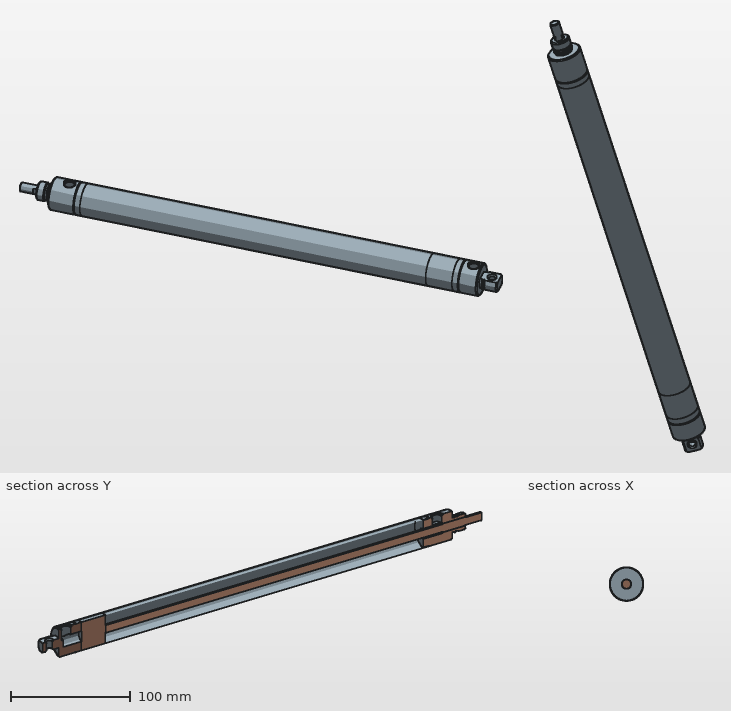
import cadquery as cq
import math


TOTAL_LENGTH = 422.3
HEAD_FACE = 28.5
HEAD_SHOULDER = 50.5
JOINT_GAP = 1.0
PLUG_LENGTH = 6.0
STROKE = 305.0
PISTON_LENGTH = 23.2
END_CAP_FACE = 406.5

BODY_DIAMETER = 28.5
BODY_RADIUS = BODY_DIAMETER / 2
BORE_DIAMETER = 27.5
BORE_RADIUS = BORE_DIAMETER / 2
BODY_CHAMFER = 1.05

STEM_RADIUS = 8.0
NECK_RADIUS = 7.0
STEM_CHAMFER = 1.05
NOSE_LENGTH = 12.5
NECK_LENGTH = 2.0
RIM_WIDTH = 0.65
GROOVE_SLOPE = 1.0
NOSE_GROOVE_FLOOR = 1.5
PIVOT_GROOVE_FLOOR = 0.5

ROD_RADIUS = 3.95
ROD_TIP_CHAMFER = 0.65
FLAT_START = 12.0
FLAT_END = 14.5
FLAT_OFFSET = 2.75

PORT_MOUTH_RADIUS = 5.0
PORT_RADIUS = 4.2
PORT_MOUTH_DEPTH = 1.3
PORT_STEP = 1.0
DRILL_POINT_ANGLE = 118
HEAD_PORT_X = 43.0
HEAD_PORT_FLOOR = 5.5
END_PORT_X = 399.5
END_PORT_FLOOR = 2.0
CHAMBER_DIAMETER = 9.7
CHAMBER_RADIUS = CHAMBER_DIAMETER / 2
HEAD_CHAMBER_START = HEAD_PORT_X - PORT_MOUTH_RADIUS
END_CHAMBER_END = 402.0

EYE_THICKNESS = 9.7
EYE_HALF_THICKNESS = EYE_THICKNESS / 2
EYE_HOLE_X = 415.5
EYE_HOLE_RADIUS = 2.75
EYE_HOLE_CHAMFER = 1.3

TUBE_START = HEAD_SHOULDER + JOINT_GAP
HEAD_PLUG_END = HEAD_SHOULDER + PLUG_LENGTH
PISTON_START = HEAD_PLUG_END + STROKE
PISTON_END = PISTON_START + PISTON_LENGTH
END_SHOULDER = PISTON_END + PLUG_LENGTH
TUBE_END = END_SHOULDER - JOINT_GAP
NOSE_TIP = HEAD_FACE - NOSE_LENGTH


def turned(outline):
    """Solid of revolution about X through (x, radius) points, closed along the axis."""
    first_x = outline[0][0]
    last_x = outline[-1][0]
    points = [(first_x, 0), *outline, (last_x, 0)]
    return cq.Workplane("XZ").polyline(points).close().revolve(360, (0, 0, 0), (1, 0, 0))


def cylinder(start, end, radius):
    return turned([(start, radius), (end, radius)])


def stem_outline(face, tip, groove_floor):
    """(x, radius) points of a threaded stem with its neck, rim and groove, from body face to tip."""
    outward = math.copysign(1, tip - face)
    rim_start = face + outward * NECK_LENGTH
    rim_end = rim_start + outward * RIM_WIDTH
    floor_start = rim_end + outward * GROOVE_SLOPE
    floor_end = floor_start + outward * groove_floor
    thread_start = floor_end + outward * GROOVE_SLOPE
    return [
        (face, NECK_RADIUS),
        (rim_start, NECK_RADIUS),
        (rim_start, STEM_RADIUS),
        (rim_end, STEM_RADIUS),
        (floor_start, NECK_RADIUS),
        (floor_end, NECK_RADIUS),
        (thread_start, STEM_RADIUS),
        (tip - outward * STEM_CHAMFER, STEM_RADIUS),
        (tip, STEM_RADIUS - STEM_CHAMFER),
    ]


def cap_outline(face, shoulder, plug_end):
    """(x, radius) points of a cap from its chamfered outer face to the plug that enters the tube."""
    inward = math.copysign(1, shoulder - face)
    return [
        (face, BODY_RADIUS - BODY_CHAMFER),
        (face + inward * BODY_CHAMFER, BODY_RADIUS),
        (shoulder, BODY_RADIUS),
        (shoulder, BORE_RADIUS),
        (plug_end, BORE_RADIUS),
    ]


def port_cutter(x, floor):
    """Stepped air port from the top of the body, ending in a drill point below the floor height."""
    point_depth = PORT_RADIUS / math.tan(math.radians(DRILL_POINT_ANGLE / 2))
    step_top = BODY_RADIUS - PORT_MOUTH_DEPTH
    outline = [
        (0, floor - point_depth),
        (PORT_RADIUS, floor),
        (PORT_RADIUS, step_top - PORT_STEP),
        (PORT_MOUTH_RADIUS, step_top),
        (PORT_MOUTH_RADIUS, BODY_RADIUS),
        (0, BODY_RADIUS),
    ]
    cutter = cq.Workplane("XZ").polyline(outline).close().revolve(360, (0, 0, 0), (0, 1, 0))
    return cutter.translate((x, 0, 0))


def make_head():
    nose = stem_outline(HEAD_FACE, NOSE_TIP, NOSE_GROOVE_FLOOR)
    barrel = cap_outline(HEAD_FACE, HEAD_SHOULDER, HEAD_PLUG_END)
    head = turned(nose[::-1] + barrel)
    head = head.cut(port_cutter(HEAD_PORT_X, HEAD_PORT_FLOOR))
    head = head.cut(cylinder(HEAD_CHAMBER_START, HEAD_PLUG_END, CHAMBER_RADIUS))
    return head.cut(cylinder(NOSE_TIP, HEAD_PLUG_END, ROD_RADIUS))


def make_tube():
    bore = cylinder(TUBE_START, TUBE_END, BORE_RADIUS)
    return cylinder(TUBE_START, TUBE_END, BODY_RADIUS).cut(bore)


def pivot_eye_cutters():
    """Tools that flatten the stem above and below and drill the countersunk pivot hole."""
    eye_length = TOTAL_LENGTH - END_CAP_FACE
    slab_height = STEM_RADIUS - EYE_HALF_THICKNESS
    slab = (
        cq.Workplane("XY")
        .box(eye_length, 2 * STEM_RADIUS, slab_height, centered=(False, True, False))
        .translate((END_CAP_FACE, 0, EYE_HALF_THICKNESS))
    )
    chamfer_bottom = EYE_HALF_THICKNESS - EYE_HOLE_CHAMFER
    half_hole = [
        (0, 0),
        (EYE_HOLE_RADIUS, 0),
        (EYE_HOLE_RADIUS, chamfer_bottom),
        (EYE_HOLE_RADIUS + EYE_HOLE_CHAMFER, EYE_HALF_THICKNESS),
        (0, EYE_HALF_THICKNESS),
    ]
    hole = (
        cq.Workplane("XZ")
        .polyline(half_hole)
        .close()
        .revolve(360, (0, 0, 0), (0, 1, 0))
        .translate((EYE_HOLE_X, 0, 0))
    )
    upper_tools = [slab, hole]
    lower_tools = [tool.mirror("XY") for tool in upper_tools]
    return upper_tools + lower_tools


def make_end_cap():
    barrel = cap_outline(END_CAP_FACE, END_SHOULDER, PISTON_END)
    stem = stem_outline(END_CAP_FACE, TOTAL_LENGTH, PIVOT_GROOVE_FLOOR)
    end_cap = turned(barrel[::-1] + stem)
    for tool in pivot_eye_cutters():
        end_cap = end_cap.cut(tool)
    end_cap = end_cap.cut(port_cutter(END_PORT_X, END_PORT_FLOOR))
    return end_cap.cut(cylinder(PISTON_END, END_CHAMBER_END, CHAMBER_RADIUS))


def make_rod():
    rod = turned([
        (0, ROD_RADIUS - ROD_TIP_CHAMFER),
        (ROD_TIP_CHAMFER, ROD_RADIUS),
        (PISTON_START, ROD_RADIUS),
    ])
    flat_depth = ROD_RADIUS - FLAT_OFFSET
    flat = (
        cq.Workplane("XY")
        .moveTo(FLAT_START, FLAT_OFFSET)
        .lineTo(FLAT_END, FLAT_OFFSET)
        .lineTo(FLAT_END + flat_depth, ROD_RADIUS)
        .lineTo(FLAT_START, ROD_RADIUS)
        .close()
        .extrude(ROD_RADIUS, both=True)
    )
    return rod.cut(flat).cut(flat.mirror("XZ"))


def make_piston():
    return cylinder(PISTON_START, PISTON_END, BORE_RADIUS)


head = make_head()
tube = make_tube()
end_cap = make_end_cap()
rod = make_rod()
piston = make_piston()

result = cq.Compound.makeCompound([
    head.val(),
    tube.val(),
    end_cap.val(),
    rod.val(),
    piston.val(),
])